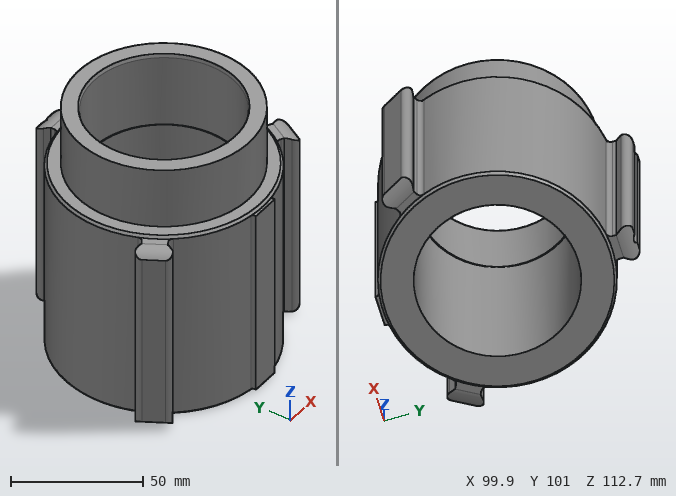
import cadquery as cq
import math

total_height = 112.7
body_height = 85.7
edge_drop = 1.1
rib_bottom = edge_drop
rib_top = body_height - edge_drop

body_radius = 45.2
rim_radius = 44.2
spigot_radius = 39.0
bore_radius = 32.0
bore_mouth_radius = 32.5
bore_mouth_depth = 1.5

bore_step_depth = 33.6
lower_bore_radius = 31.7

rib_angles = (0, 120, 240)
rib_outer_radius = 54.7
rib_root_radius = 42.8
neck_half_width = 5.0
neck_outer_radius = 48.2
head_half_width = 7.1
lobe_radius = 2.6
end_round_drop = 2.8
rib_root_fillet = 2.0

groove_half_width = 1.8
groove_depth = 0.9

pad_half_width = 6.3
pad_outer_radius = 46.3
pad_root_fillet = 1.1


def revolved(points):
    """Turn a radius-height outline around the Z axis."""
    return cq.Workplane("XZ").polyline(points).close().revolve(360, (0, 0, 0), (0, 1, 0))


def make_body():
    return revolved([
        (0, 0),
        (rim_radius, 0),
        (body_radius, edge_drop),
        (body_radius, body_height - edge_drop),
        (rim_radius, body_height),
        (spigot_radius, body_height),
        (spigot_radius, total_height),
        (0, total_height),
    ])


def make_bore():
    step_height = total_height - bore_step_depth
    return revolved([
        (0, 0),
        (lower_bore_radius, 0),
        (lower_bore_radius, step_height),
        (bore_radius, step_height),
        (bore_radius, total_height - bore_mouth_depth),
        (bore_mouth_radius, total_height),
        (0, total_height),
    ])


def root_corner(side, half_width, fillet):
    """Concave fillet between a straight side of a rib or pad and the round body."""
    centre_x = half_width + fillet
    reach = body_radius + fillet
    centre_y = math.sqrt(reach**2 - centre_x**2)
    touch_x = centre_x * body_radius / reach
    touch_y = centre_y * body_radius / reach
    inward_angle = math.pi + math.atan2(centre_y, centre_x)
    middle_angle = (math.pi + inward_angle) / 2
    middle = (
        side * (centre_x + fillet * math.cos(middle_angle)),
        centre_y + fillet * math.sin(middle_angle),
    )
    return (
        cq.Workplane("XY", origin=(0, 0, rib_bottom))
        .moveTo(0, centre_y)
        .lineTo(side * half_width, centre_y)
        .threePointArc(middle, (side * touch_x, touch_y))
        .lineTo(side * touch_x, rib_root_radius)
        .lineTo(0, rib_root_radius)
        .close()
        .extrude(rib_top - rib_bottom)
    )


def make_rib():
    lobe_x = head_half_width - lobe_radius
    lobe_y = rib_outer_radius - lobe_radius
    corner_distance = math.hypot(lobe_x - neck_half_width, lobe_y - neck_outer_radius)
    corner_direction = math.atan2(neck_outer_radius - lobe_y, neck_half_width - lobe_x)
    tangent_angle = corner_direction + math.acos(lobe_radius / corner_distance)
    middle_angle = (tangent_angle + math.pi / 2) / 2

    def lobe_point(angle, side):
        return (side * (lobe_x + lobe_radius * math.cos(angle)), lobe_y + lobe_radius * math.sin(angle))

    rib = (
        cq.Workplane("XY", origin=(0, 0, rib_bottom))
        .moveTo(-neck_half_width, rib_root_radius)
        .lineTo(neck_half_width, rib_root_radius)
        .lineTo(neck_half_width, neck_outer_radius)
        .lineTo(*lobe_point(tangent_angle, 1))
        .threePointArc(lobe_point(middle_angle, 1), (lobe_x, rib_outer_radius))
        .lineTo(-lobe_x, rib_outer_radius)
        .threePointArc(lobe_point(middle_angle, -1), lobe_point(tangent_angle, -1))
        .lineTo(-neck_half_width, neck_outer_radius)
        .close()
        .extrude(rib_top - rib_bottom)
    )
    for side in (1, -1):
        rib = rib.union(root_corner(side, neck_half_width, rib_root_fillet))
    return rib.intersect(rib_side_outline())


def rib_side_outline():
    """Side profile that rounds the top and bottom ends of a rib."""
    run = rib_outer_radius - neck_outer_radius
    round_radius = (run**2 + end_round_drop**2) / (2 * end_round_drop)
    middle_angle = math.asin(run / round_radius) / 2
    middle_y = neck_outer_radius + round_radius * math.sin(middle_angle)
    middle_drop = round_radius * (1 - math.cos(middle_angle))
    return (
        cq.Workplane("YZ")
        .moveTo(rib_root_radius, rib_bottom)
        .lineTo(neck_outer_radius, rib_bottom)
        .threePointArc(
            (middle_y, rib_bottom + middle_drop),
            (rib_outer_radius, rib_bottom + end_round_drop),
        )
        .lineTo(rib_outer_radius, rib_top - end_round_drop)
        .threePointArc((middle_y, rib_top - middle_drop), (neck_outer_radius, rib_top))
        .lineTo(rib_root_radius, rib_top)
        .close()
        .extrude(2 * head_half_width, both=True)
    )


def make_groove():
    return (
        cq.Workplane("XY")
        .moveTo(-groove_half_width, rib_outer_radius)
        .threePointArc((0, rib_outer_radius - groove_depth), (groove_half_width, rib_outer_radius))
        .close()
        .extrude(body_height)
    )


def make_pad():
    pad = (
        cq.Workplane("XY", origin=(0, 0, rib_bottom))
        .moveTo(-pad_half_width, rib_root_radius)
        .lineTo(pad_half_width, rib_root_radius)
        .lineTo(pad_half_width, pad_outer_radius)
        .lineTo(-pad_half_width, pad_outer_radius)
        .close()
        .extrude(rib_top - rib_bottom)
    )
    for side in (1, -1):
        pad = pad.union(root_corner(side, pad_half_width, pad_root_fillet))
    return pad.rotate((0, 0, 0), (0, 0, 1), 180)


result = make_body()
rib = make_rib()
for angle in rib_angles:
    result = result.union(rib.rotate((0, 0, 0), (0, 0, 1), angle))
result = result.union(make_pad()).cut(make_groove()).cut(make_bore())